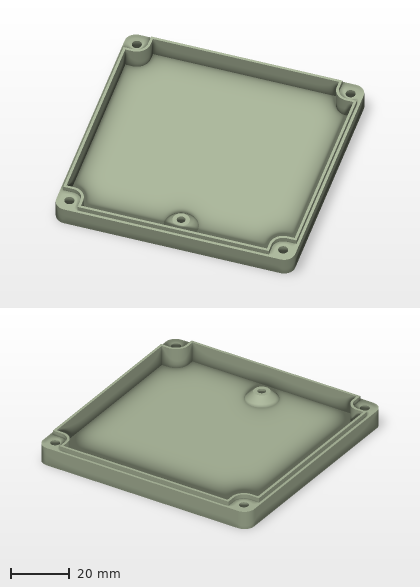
import cadquery as cq

side = 85.0
height = 8.5
corner_radius = 4.0
floor_thickness = 1.0

lip_height = 1.7
lip_inset = 1.0
lip_thickness = 0.9
shoulder_height = height - lip_height

screw_inset = 4.5
screw_hole_diameter = 3.4
post_radius = 4.0

boss_y = -32.55
boss_base_diameter = 12.1
boss_top_diameter = 5.95
boss_height = 3.0
boss_hole_diameter = 3.0

screw_spacing = side - 2 * screw_inset


def notched_block(inset, notch_radius, bottom, top):
    """Square block whose corners are cut back around the screw posts."""
    depth = top - bottom
    width = side - 2 * inset
    block = cq.Workplane("XY").workplane(offset=bottom).rect(width, width).extrude(depth)

    notch_side = 2 * (screw_inset + notch_radius)
    notches = (
        cq.Workplane("XY")
        .workplane(offset=bottom)
        .rect(side, side, forConstruction=True)
        .vertices()
        .rect(notch_side, notch_side)
        .extrude(depth)
        .edges("|Z")
        .fillet(notch_radius)
    )
    return block.cut(notches)


def conical_boss():
    """Truncated cone rising from the floor, centred on its own hole."""
    cone = cq.Solid.makeCone(
        boss_base_diameter / 2,
        boss_top_diameter / 2,
        boss_height,
        pnt=cq.Vector(0, boss_y, floor_thickness),
    )
    return cq.Workplane(obj=cone)


body = cq.Workplane("XY").rect(side, side).extrude(shoulder_height)
body = body.edges("|Z").fillet(corner_radius)

lip = notched_block(lip_inset, post_radius, shoulder_height, height)
cavity = notched_block(
    lip_inset + lip_thickness, post_radius + lip_thickness, floor_thickness, height
)
tray = body.union(lip).cut(cavity).union(conical_boss())

screw_holes = (
    cq.Workplane("XY")
    .rect(screw_spacing, screw_spacing, forConstruction=True)
    .vertices()
    .circle(screw_hole_diameter / 2)
    .extrude(height)
)
boss_hole = cq.Workplane("XY").center(0, boss_y).circle(boss_hole_diameter / 2).extrude(height)

result = tray.cut(screw_holes).cut(boss_hole)